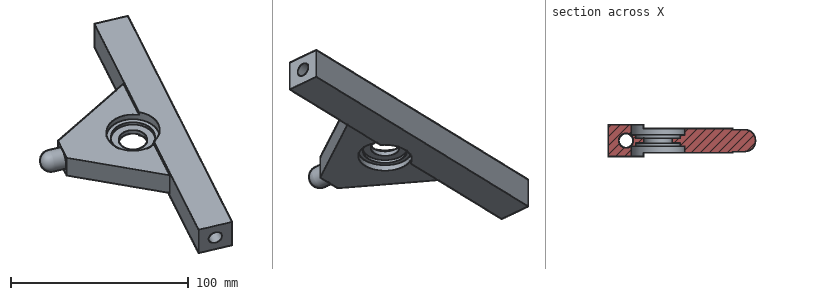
import cadquery as cq

BAR_LENGTH = 180.0
BAR_DEPTH = 20.0
BAR_HEIGHT = 18.0
BAR_BORE_DIAMETER = 8.0

ARM_ROOT_WIDTH = 80.0
ARM_TIP_WIDTH = 15.0
ARM_LENGTH = 50.0
ARM_THICKNESS = 13.7

PIN_DIAMETER = 12.6
PIN_LENGTH = 13.0
PIN_NOSE_RADIUS = 6.1

THROUGH_DIAMETER = 16.0
SEAT_DIAMETER = 25.0
RECESS_DIAMETER = 30.0
RECESS_DEPTH = 5.8
SEAT_DEPTH = 1.8
HUB_Y = -THROUGH_DIAMETER / 2


def make_bar():
    bar = cq.Workplane("XY").box(BAR_LENGTH, BAR_DEPTH, BAR_HEIGHT)
    bar = bar.faces("<X").workplane(centerOption="CenterOfBoundBox").hole(BAR_BORE_DIAMETER)
    return bar.translate((0, BAR_DEPTH / 2, 0))


def make_arm():
    outline = [
        (-ARM_ROOT_WIDTH / 2, 0),
        (ARM_ROOT_WIDTH / 2, 0),
        (ARM_TIP_WIDTH / 2, -ARM_LENGTH),
        (-ARM_TIP_WIDTH / 2, -ARM_LENGTH),
    ]
    return cq.Workplane("XY").polyline(outline).close().extrude(ARM_THICKNESS / 2, both=True)


def make_pin():
    pin = cq.Workplane("XZ", origin=(0, -ARM_LENGTH, 0)).circle(PIN_DIAMETER / 2).extrude(PIN_LENGTH)
    return pin.faces("<Y").edges().fillet(PIN_NOSE_RADIUS)


def hub_cylinder(diameter, height):
    """Cutting cylinder on the hub axis, centred on the part's mid-plane."""
    return cq.Workplane("XY").center(0, HUB_Y).circle(diameter / 2).extrude(height / 2, both=True)


def make_hub_cutter():
    cutter = hub_cylinder(THROUGH_DIAMETER, BAR_HEIGHT)
    steps = [(RECESS_DIAMETER, RECESS_DEPTH), (SEAT_DIAMETER, RECESS_DEPTH + SEAT_DEPTH)]
    for diameter, depth in steps:
        web_thickness = BAR_HEIGHT - 2 * depth
        web = hub_cylinder(diameter, web_thickness)
        cutter = cutter.union(hub_cylinder(diameter, BAR_HEIGHT).cut(web))
    return cutter


result = make_bar().union(make_arm()).union(make_pin()).cut(make_hub_cutter())